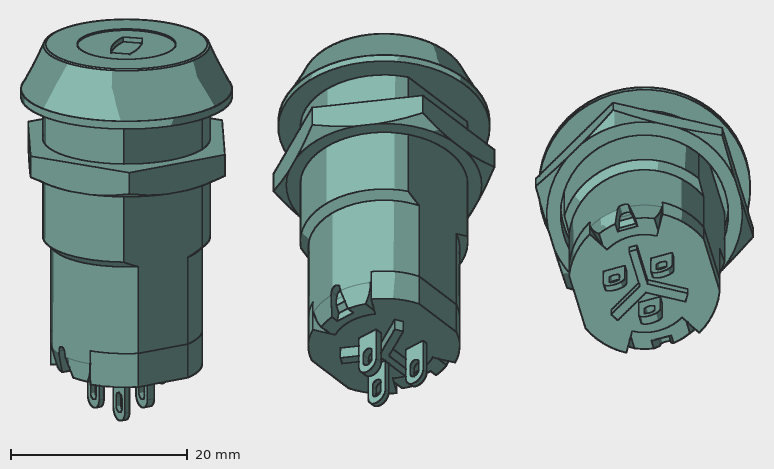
import cadquery as cq
import math

total_height = 43.6
bezel_bottom = 37.35
nut_top = 32.4
nut_height = 3.4
taper_top = 20.7
taper_bottom = 19.85
base_top = 9.5
tongue_chamfer_top = 8.0
body_bottom = 5.5
separator_bottom = 4.05

bezel_radius = 12.0
bezel_rim_height = 0.9
bezel_slope_bottom_radius = 11.95
bezel_slope_mid_radius = 10.6
bezel_slope_top_radius = 9.4
bezel_face_radius = 9.15
bezel_edge_height = 0.15

face_recess_radius = 5.6
face_recess_depth = 0.17
key_slot_length = 5.95
key_slot_end_width = 2.2
key_slot_mid_width = 3.15
key_slot_depth = 0.55
key_slot_angle = -45

upper_radius = 9.5
lower_radius = 8.6
flat_distance = 7.95

tongue_half_angle = 30
base_core_radius = 5.9
tongue_bottom_radius = 7.9
tongue_corner_top_x = 4.25
tongue_corner_mid = (3.8, 6.5)
tongue_corner_bottom_x = 3.25

notch_top = 9.0
notch_top_half_width = 0.6
notch_bottom_half_width = 1.18
notch_floor = 7.6
notch_ledge_floor = 7.4
notch_ledge_z = 7.25
notch_deep_floor = 6.85
notch_deep_z = 6.55

nut_corner_diameter = 25.4
nut_chamfer_radius = 11.07
nut_chamfer_height = 0.87

front_arm_width = 0.9
front_arm_length = 4.65
rear_arm_width = 1.05
rear_arm_length = 4.93
rear_arm_angles = (30, 150)

terminal_width = 2.55
terminal_pitch = 2.8
terminal_eye_width = 1.2
terminal_eye_length = 2.3
terminal_eye_z = 2.15
front_terminal_y = (-2.7, -2.05)
rear_terminal_y = (2.0, 2.9)


def cylinder(radius, bottom, top):
    return cq.Workplane("XY").workplane(offset=bottom).circle(radius).extrude(top - bottom)


def between_flats(body):
    """Trim a round body to the two barrel flats."""
    slab = cq.Workplane("XY").box(
        2 * flat_distance, 4 * bezel_radius, total_height, centered=(True, True, False)
    )
    return body.intersect(slab)


def make_bezel():
    slope_bottom = bezel_bottom + bezel_rim_height
    slope_top = total_height - bezel_edge_height
    return (
        cq.Workplane("XZ")
        .moveTo(0, bezel_bottom)
        .lineTo(bezel_radius, bezel_bottom)
        .lineTo(bezel_radius, slope_bottom)
        .lineTo(bezel_slope_bottom_radius, slope_bottom)
        .threePointArc(
            (bezel_slope_mid_radius, (slope_bottom + slope_top) / 2),
            (bezel_slope_top_radius, slope_top),
        )
        .lineTo(bezel_face_radius, total_height)
        .lineTo(0, total_height)
        .close()
        .revolve(360, (0, 0, 0), (0, 1, 0))
    )


def make_keyhole():
    """Shallow round recess with a barrel-shaped key slot in its floor."""
    recess_floor = total_height - face_recess_depth
    half_length = key_slot_length / 2
    half_end = key_slot_end_width / 2
    half_mid = key_slot_mid_width / 2
    slot = (
        cq.Workplane("XY")
        .workplane(offset=recess_floor - key_slot_depth)
        .moveTo(-half_length, -half_end)
        .threePointArc((0, -half_mid), (half_length, -half_end))
        .lineTo(half_length, half_end)
        .threePointArc((0, half_mid), (-half_length, half_end))
        .close()
        .extrude(key_slot_depth + face_recess_depth)
        .rotate((0, 0, 0), (0, 0, 1), key_slot_angle)
    )
    return cylinder(face_recess_radius, recess_floor, total_height).union(slot)


def make_barrel():
    barrel = (
        cq.Workplane("XZ")
        .polyline(
            [
                (0, body_bottom),
                (tongue_bottom_radius, body_bottom),
                (lower_radius, tongue_chamfer_top),
                (lower_radius, taper_bottom),
                (upper_radius, taper_top),
                (upper_radius, bezel_bottom),
                (0, bezel_bottom),
            ]
        )
        .close()
        .revolve(360, (0, 0, 0), (0, 1, 0))
    )
    return between_flats(barrel)


def make_tongue_space():
    """The two sectors, facing -Y and +Y, that the base leaves free for the tongues."""
    reach = 2 * lower_radius
    half_width = reach * math.tan(math.radians(tongue_half_angle))
    sectors = (
        cq.Workplane("XY")
        .workplane(offset=body_bottom)
        .polyline([(0, 0), (half_width, reach), (-half_width, reach)])
        .close()
        .polyline([(0, 0), (-half_width, -reach), (half_width, -reach)])
        .close()
        .extrude(base_top - body_bottom)
    )
    return sectors.cut(cylinder(base_core_radius, body_bottom, base_top))


def make_base_plate():
    plate = between_flats(cylinder(lower_radius, body_bottom, base_top))
    return plate.cut(make_tongue_space())


def make_tongue_corners():
    """Rounded cuts that free the lower corners of the tongues from the wings."""
    corner = (
        cq.Workplane("XZ")
        .moveTo(tongue_corner_top_x, tongue_chamfer_top)
        .threePointArc(tongue_corner_mid, (tongue_corner_bottom_x, body_bottom))
        .lineTo(upper_radius, body_bottom)
        .lineTo(upper_radius, tongue_chamfer_top)
        .close()
        .extrude(upper_radius, both=True)
    )
    return corner.union(corner.mirror("YZ"))


def make_notches():
    """Round-topped notches that widen downward; their floors step inward."""
    round_start = notch_top - notch_top_half_width
    outline = (
        cq.Workplane("XZ")
        .moveTo(-notch_bottom_half_width, body_bottom)
        .lineTo(-notch_top_half_width, round_start)
        .threePointArc((0, notch_top), (notch_top_half_width, round_start))
        .lineTo(notch_bottom_half_width, body_bottom)
        .close()
        .extrude(lower_radius)
    )
    floor_side = (
        cq.Workplane("YZ")
        .polyline(
            [
                (-lower_radius, notch_top),
                (-notch_floor, notch_top),
                (-notch_floor, tongue_chamfer_top),
                (-notch_ledge_floor, notch_ledge_z),
                (-notch_deep_floor, notch_deep_z),
                (-notch_deep_floor, body_bottom),
                (-lower_radius, body_bottom),
            ]
        )
        .close()
        .extrude(notch_bottom_half_width, both=True)
    )
    notch = outline.intersect(floor_side)
    return notch.union(notch.mirror("XZ"))


def make_housing():
    housing = make_barrel().union(make_bezel()).cut(make_keyhole())
    return housing.cut(make_base_plate()).cut(make_tongue_corners()).cut(make_notches())


def make_nut():
    nut_bottom = nut_top - nut_height
    corner_radius = nut_corner_diameter / 2
    hexagon = (
        cq.Workplane("XY")
        .workplane(offset=nut_bottom)
        .polygon(6, nut_corner_diameter)
        .extrude(nut_height)
        .rotate((0, 0, 0), (0, 0, 1), 30)
    )
    chamfered_blank = (
        cq.Workplane("XZ")
        .polyline(
            [
                (0, nut_bottom),
                (nut_chamfer_radius, nut_bottom),
                (corner_radius, nut_bottom + nut_chamfer_height),
                (corner_radius, nut_top),
                (0, nut_top),
            ]
        )
        .close()
        .revolve(360, (0, 0, 0), (0, 1, 0))
    )
    return hexagon.intersect(chamfered_blank).cut(cylinder(upper_radius, nut_bottom, nut_top))


def make_separator_arm(length, width, angle):
    return (
        cq.Workplane("XY")
        .box(length, width, body_bottom - separator_bottom, centered=(False, True, False))
        .translate((0, 0, separator_bottom))
        .rotate((0, 0, 0), (0, 0, 1), angle)
    )


def make_base():
    base = make_base_plate().union(make_separator_arm(front_arm_length, front_arm_width, -90))
    for angle in rear_arm_angles:
        base = base.union(make_separator_arm(rear_arm_length, rear_arm_width, angle))
    return base


def make_terminal(x, y_range):
    """Flat solder tag with a rounded tip and a slotted eye."""
    y_front, y_back = y_range
    half_width = terminal_width / 2
    return (
        cq.Workplane("XZ", origin=(x, y_back, 0))
        .moveTo(-half_width, body_bottom)
        .lineTo(-half_width, half_width)
        .threePointArc((0, 0), (half_width, half_width))
        .lineTo(half_width, body_bottom)
        .close()
        .moveTo(0, terminal_eye_z)
        .slot2D(terminal_eye_length, terminal_eye_width, 90)
        .extrude(y_back - y_front)
    )


housing = make_housing()
nut = make_nut()
base = make_base()
terminal_places = [
    (-terminal_pitch, front_terminal_y),
    (0, rear_terminal_y),
    (terminal_pitch, front_terminal_y),
]
terminals = [make_terminal(x, y_range) for x, y_range in terminal_places]

result = cq.Compound.makeCompound(
    [housing.val(), nut.val(), base.val(), *[terminal.val() for terminal in terminals]]
)